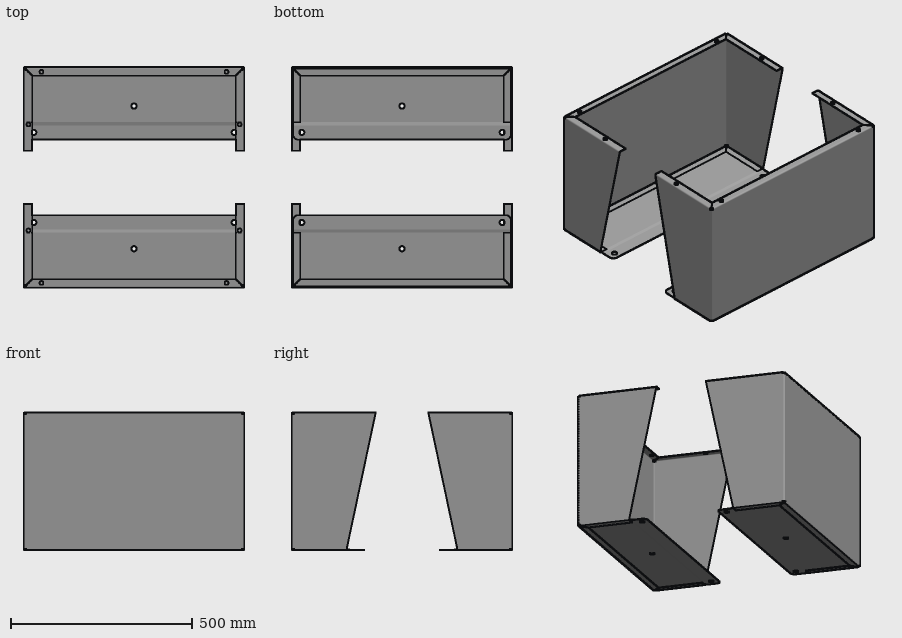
import cadquery as cq
import math

width = 609.5
total_depth = 609.5
height = 381.0
back_y = total_depth / 2

sheet = 2.15
bend_radius = 4.0
inner_bend_radius = bend_radius - sheet

top_depth = 231.5
bottom_depth = 152.5
flange_width = 24.0
mitre_gap = 1.0
corner_relief = 7.5
top_y = back_y - top_depth
bottom_y = back_y - bottom_depth

flange_hole_diameter = 11.0
flange_hole_inset = 13.5
back_hole_x = 255.5
side_hole_y = 146.0

plate_half_width = width / 2 - bend_radius
plate_back_y = back_y - bend_radius
plate_corner_cut = 7.5
step_start_y = bottom_y
step_end_y = 144.0
lip_front_y = 104.0
lip_corner_radius = 14.0
plate_hole_diameter = 14.0
floor_hole_y = 197.0
lip_hole_x = 277.0
lip_hole_y = 124.5


def rounded_block(inset, radius):
    """Block inset from the outer walls, its back and its long edges rounded, reaching forward to Y = 0."""
    block_width = width - 2 * inset
    block_height = height - 2 * inset
    block = (
        cq.Workplane("XY")
        .box(block_width, back_y - inset, block_height, centered=(True, False, False))
        .translate((0, 0, inset))
    )
    return block.edges("|Y or >Y").fillet(radius)


def flange_window():
    """Opening left inside the flanges, through the top and the bottom."""
    return (
        cq.Workplane("XY")
        .rect(width - 2 * flange_width, 2 * (back_y - flange_width))
        .extrude(height)
    )


def side_profile():
    """Side outline: upright in the top and bottom bend zones, a raked front edge between them."""
    return (
        cq.Workplane("YZ")
        .polyline([
            (back_y, 0),
            (bottom_y, 0),
            (bottom_y, bend_radius),
            (top_y, height - bend_radius),
            (top_y, height),
            (back_y, height),
        ])
        .close()
        .extrude(width / 2, both=True)
    )


def corner_cuts():
    """Relief notch and mitre slit that part the flanges in each back corner, top and bottom."""
    mitre_length = math.sqrt(2) * flange_width
    cuts = []
    for side in (-1, 1):
        corner_x = side * width / 2
        for base_z in (0, height - bend_radius):
            relief = (
                cq.Workplane("XY", origin=(corner_x, back_y, base_z))
                .rect(2 * corner_relief, 2 * corner_relief)
                .extrude(bend_radius)
            )
            slit = (
                cq.Workplane("XY", origin=(corner_x, back_y, base_z))
                .transformed(rotate=(0, 0, -side * 45))
                .rect(mitre_gap, 2 * mitre_length)
                .extrude(bend_radius)
            )
            cuts += [relief, slit]
    return cuts


def flange_holes():
    """Fastener holes through the top flanges."""
    back_hole_y = back_y - flange_hole_inset
    side_hole_x = width / 2 - flange_hole_inset
    points = [(side * back_hole_x, back_hole_y) for side in (-1, 1)]
    points += [(side * side_hole_x, side_hole_y) for side in (-1, 1)]
    return (
        cq.Workplane("XY", origin=(0, 0, height - bend_radius))
        .pushPoints(points)
        .circle(flange_hole_diameter / 2)
        .extrude(bend_radius)
    )


def make_shell():
    """Bent sheet shell of the half at the back (+Y)."""
    shell = rounded_block(0, bend_radius).cut(rounded_block(sheet, inner_bend_radius))
    shell = shell.intersect(side_profile()).cut(flange_window())
    for cut in corner_cuts():
        shell = shell.cut(cut)
    return shell.cut(flange_holes())


def make_base_plate():
    """Stepped sheet floor of the half at the back, with a floor hole and two lip holes."""
    plate = (
        cq.Workplane("YZ")
        .polyline([
            (lip_front_y, 0),
            (step_end_y, 0),
            (step_start_y, sheet),
            (plate_back_y, sheet),
            (plate_back_y, 2 * sheet),
            (step_start_y, 2 * sheet),
            (step_end_y, sheet),
            (lip_front_y, sheet),
        ])
        .close()
        .extrude(plate_half_width, both=True)
    )
    plate = plate.edges("|Z and >Y").chamfer(plate_corner_cut)
    plate = plate.edges("|Z and <Y").fillet(lip_corner_radius)
    holes = (
        cq.Workplane("XY")
        .pushPoints([(0, floor_hole_y), (-lip_hole_x, lip_hole_y), (lip_hole_x, lip_hole_y)])
        .circle(plate_hole_diameter / 2)
        .extrude(2 * sheet)
    )
    return plate.cut(holes)


shells = []
base_plates = []
for turn in (0, 180):
    shells.append(make_shell().solids().val().rotate((0, 0, 0), (0, 0, 1), turn))
    base_plates.append(make_base_plate().solids().val().rotate((0, 0, 0), (0, 0, 1), turn))

result = cq.Compound.makeCompound([*shells, *base_plates])